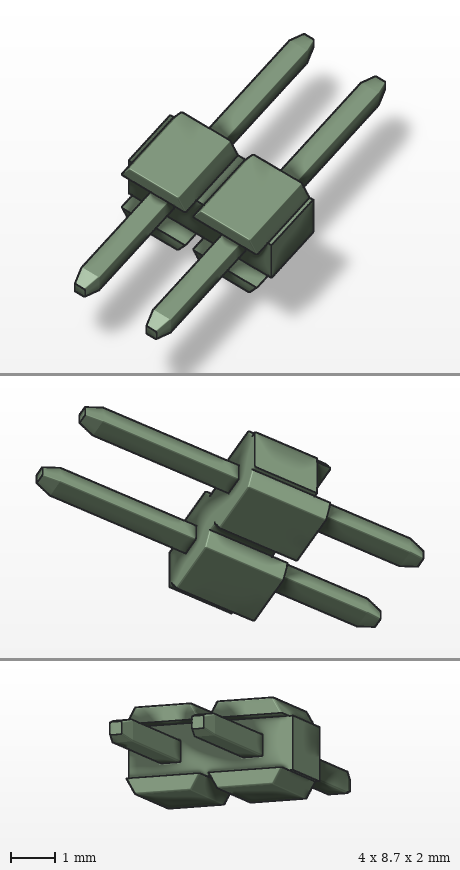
import cadquery as cq
import math


PIN_COUNT = 2
PITCH = 2.0

PIN_LENGTH = 8.7
PIN_SIDE = 0.505
PIN_TIP_SIDE = 0.3
PIN_TIP_LENGTH = 0.4
PIN_REAR_LENGTH = 3.89

BAR_DEPTH = 1.6
BAR_HEIGHT = 1.24
CAP_DEPTH = 2.02
HOUSING_HEIGHT = 2.0
CAP_BASE_WIDTH = 1.8
CAP_SIDE_LEAN = 30.0

EDGE_RADIUS = 0.04

bar_width = PIN_COUNT * PITCH
cap_thickness = (HOUSING_HEIGHT - BAR_HEIGHT) / 2
cap_top_width = CAP_BASE_WIDTH - 2 * cap_thickness * math.tan(math.radians(CAP_SIDE_LEAN))
pin_places = [(i - (PIN_COUNT - 1) / 2) * PITCH for i in range(PIN_COUNT)]


def make_pin(x):
    """Square pin whose four sides lean in at both ends, with all lengthwise edges rounded."""
    half_side = PIN_SIDE / 2
    half_tip = PIN_TIP_SIDE / 2
    rear_end = PIN_REAR_LENGTH
    front_end = rear_end - PIN_LENGTH
    rear_shoulder = rear_end - PIN_TIP_LENGTH
    front_shoulder = front_end + PIN_TIP_LENGTH
    outline = [
        (-half_tip, front_end),
        (half_tip, front_end),
        (half_side, front_shoulder),
        (half_side, rear_shoulder),
        (half_tip, rear_end),
        (-half_tip, rear_end),
        (-half_side, rear_shoulder),
        (-half_side, front_shoulder),
    ]
    tapered_in_x = cq.Workplane("XY").polyline(outline).close().extrude(half_side, both=True)
    tapered_in_z = tapered_in_x.rotate((0, 0, 0), (0, 1, 0), 90)
    pin = tapered_in_x.intersect(tapered_in_z)
    pin = pin.edges("not(#Y)").fillet(EDGE_RADIUS)
    return pin.translate((x, 0, 0))


def make_pin_hole(x):
    """Cutter with the same rounded square section as a pin, as long as the bar is deep."""
    hole = cq.Workplane("XZ").center(x, 0).rect(PIN_SIDE, PIN_SIDE).extrude(BAR_DEPTH)
    return hole.edges("|Y").fillet(EDGE_RADIUS)


def make_bar():
    """Plain cross bar that carries the caps."""
    return cq.Workplane("XZ").rect(bar_width, BAR_HEIGHT).extrude(BAR_DEPTH)


def make_upper_cap(x):
    """Cap with leaning sides; its underside and rear edges are left sharp for joining to the bar."""
    base_z = BAR_HEIGHT / 2
    top_z = base_z + cap_thickness
    trapezium = [
        (-CAP_BASE_WIDTH / 2, base_z),
        (CAP_BASE_WIDTH / 2, base_z),
        (cap_top_width / 2, top_z),
        (-cap_top_width / 2, top_z),
    ]
    cap = cq.Workplane("XZ").polyline(trapezium).close().extrude(CAP_DEPTH)
    return cap.edges("not(<Z or >Y)").fillet(EDGE_RADIUS).translate((x, 0, 0))


def make_housing():
    """Bar and caps in one piece, bored for the pins.

    The stepped upper and lower rear edges and the front rims of the pin holes are rounded.
    """
    housing = make_bar()
    for x in pin_places:
        upper_cap = make_upper_cap(x)
        lower_cap = upper_cap.mirror("XY")
        housing = housing.union(upper_cap).union(lower_cap)
    housing = housing.faces(">Y").edges("not(<X or >X)").fillet(EDGE_RADIUS)
    for x in pin_places:
        housing = housing.cut(make_pin_hole(x))
    bar_front = housing.faces(cq.selectors.NearestToPointSelector((0, -BAR_DEPTH, 0)))
    return bar_front.edges("not(<X or >X or <Z or >Z)").fillet(EDGE_RADIUS)


housing = make_housing()
pins = [make_pin(x) for x in pin_places]

result = cq.Compound.makeCompound([housing.val(), *[pin.val() for pin in pins]])